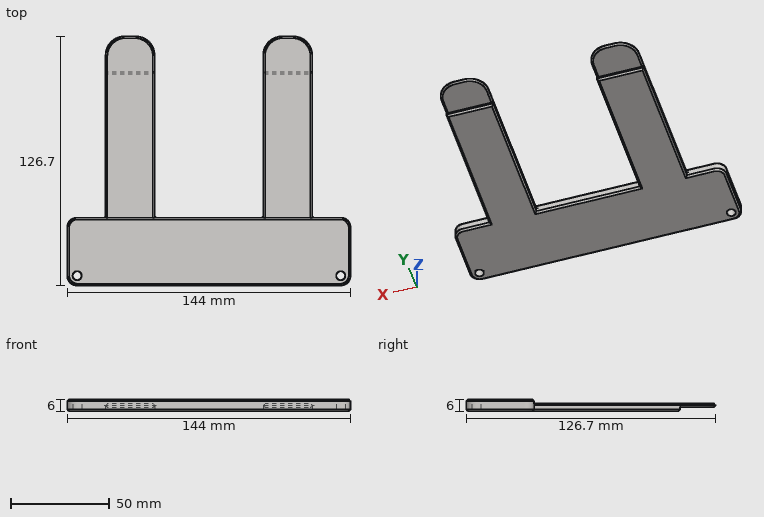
import cadquery as cq

bar_length = 144.0
bar_depth = 34.5
bar_height = 6.0
bar_corner_radius = 5.0
edge_chamfer = 1.0
hole_diameter = 4.5

total_depth = 126.7
prong_width = 25.0
prong_spacing = 80.0
prong_height = 4.0
prong_tip_radius = 10.0
root_fillet = 0.7

thin_tip_length = 18.0
thin_tip_height = 2.0

prong_start = bar_depth / 2
thick_end = total_depth - thin_tip_length
rim_z = prong_height - thin_tip_height / 2
bevel_angle = 45.0


def make_bar():
    """Rounded, chamfered plate with a through hole concentric with each front corner."""
    hole_x = bar_length / 2 - bar_corner_radius
    return (
        cq.Workplane("XY")
        .box(bar_length, bar_depth, bar_height, centered=(True, False, False))
        .edges("|Z")
        .fillet(bar_corner_radius)
        .faces("<Z or >Z")
        .edges()
        .chamfer(edge_chamfer)
        .cut(
            cq.Workplane("XY")
            .pushPoints([(-hole_x, bar_corner_radius), (hole_x, bar_corner_radius)])
            .circle(hole_diameter / 2)
            .extrude(bar_height)
        )
    )


def prong_block(center_x, end_y, bottom, top):
    """Plain block of prong width running from inside the bar to end_y."""
    return (
        cq.Workplane("XY", origin=(center_x, prong_start, bottom))
        .box(prong_width, end_y - prong_start, top - bottom, centered=(True, False, False))
    )


def make_prong(center_x):
    """Thin round-ended blade with a sharp rim, on top of a shorter, square-ended thick section."""
    rim_outline = (
        prong_block(center_x, total_depth, rim_z, prong_height)
        .edges("|Z and >Y")
        .fillet(prong_tip_radius)
        .faces("<Z")
        .wires()
        .toPending()
    )
    half_thickness = thin_tip_height / 2
    lower_blade = rim_outline.extrude(half_thickness, combine=False, taper=bevel_angle)
    blade = lower_blade.union(lower_blade.mirror("XY", (0, 0, rim_z)))
    thick_section = (
        prong_block(center_x, thick_end, 0, rim_z)
        .faces("<Z")
        .edges()
        .chamfer(edge_chamfer)
    )
    return blade.union(thick_section)


def make_root_fillet(center_x, side):
    """Small concave fillet where one side of a prong meets the bar."""
    side_x = center_x + side * prong_width / 2
    outer_x = side_x + side * root_fillet
    return (
        cq.Workplane("XY", origin=(0, 0, edge_chamfer))
        .moveTo(side_x, bar_depth)
        .lineTo(outer_x, bar_depth)
        .radiusArc((side_x, bar_depth + root_fillet), side * root_fillet)
        .close()
        .extrude(rim_z - edge_chamfer)
    )


result = make_bar()
for prong_x in (-prong_spacing / 2, prong_spacing / 2):
    result = result.union(make_prong(prong_x))
    for prong_side in (-1, 1):
        result = result.union(make_root_fillet(prong_x, prong_side))